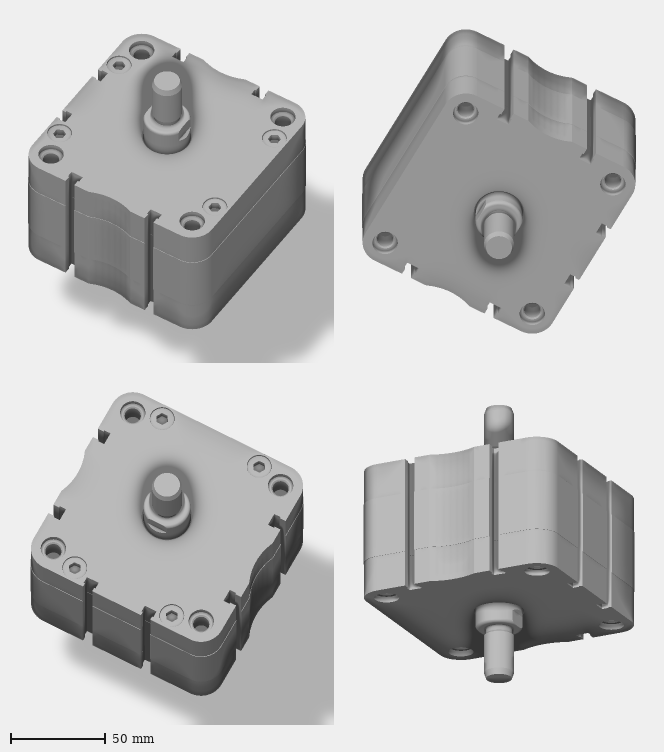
import cadquery as cq
import math

BODY_WIDTH = 113.5
CAP_INSET = 0.23
BODY_HEIGHT = 71.9
BARREL_HEIGHT = 33.0
CORNER_RADIUS = 12.2

HOLLOW_HALF_WIDTH = 13.2
HOLLOW_DEPTH = 2.8
HOLLOW_EDGE_ROUND = 0.9

NECK_WIDTH = 5.5
POCKET_WIDTH = 7.0
POCKET_DEPTH = 3.7
Y_SIDE_NECK_DEPTH = 3.5
X_SIDE_NECK_DEPTH = 2.1
X_SIDE_MOUTH_CHAMFER = 0.3
Y_SIDE_SLOT_OFFSET = 25.0
X_SIDE_SLOT_OFFSET = 17.5

MOUNT_OFFSET = 44.5
MOUNT_BORE_DIAMETER = 13.5
MOUNT_BORE_DEPTH = 3.2
MOUNT_MOUTH_DIAMETER = 10.1
MOUNT_HOLE_DIAMETER = 8.5
MOUNT_HOLE_DEPTH = 15.3

SCREW_X = 49.0
SCREW_Y = 29.2
HEAD_DIAMETER = 12.9
HEAD_HEIGHT = 8.0
HEAD_ROUND = 0.3
HEAD_BORE_DIAMETER = 13.2
HEAD_RECESS = 0.6
SHANK_DIAMETER = 8.4
SHANK_REACH = 12.2
SOCKET_FLATS = 6.0
SOCKET_DEPTH = 4.0

ROD_LENGTH = 153.0
ROD_SHIFT = 2.5
ROD_DIAMETER = 25.0
ROD_ROUND = 1.8
ROD_BORE_DIAMETER = 25.5
ROD_BORE_MOUTH_DIAMETER = 27.0
ROD_BORE_CHAMFER = 0.69
THREAD_DIAMETER = 16.0
TIP_DIAMETER = 13.8
TIP_CHAMFER_LENGTH = 3.2
THREAD_LENGTH = 24.0
RELIEF_DIAMETER = 14.0
RELIEF_RUNOUT = 1.0
RELIEF_FOOT = 0.3
STUD_LENGTH = 27.8
FLATS_WIDTH = 22.0
FLATS_LENGTH = 7.2

TOP = BODY_HEIGHT / 2
BARREL_TOP = BARREL_HEIGHT / 2
HEAD_TOP = TOP - HEAD_RECESS
HEAD_SEAT = HEAD_TOP - HEAD_HEIGHT
SCREW_TIP = BARREL_TOP - SHANK_REACH

ROD_TOP = ROD_LENGTH / 2
COLLAR_TOP = ROD_TOP - STUD_LENGTH

SCREW_POINTS = [(x, y) for x in (-SCREW_X, SCREW_X) for y in (-SCREW_Y, SCREW_Y)]
MOUNT_POINTS = [(x, y) for x in (-MOUNT_OFFSET, MOUNT_OFFSET) for y in (-MOUNT_OFFSET, MOUNT_OFFSET)]


def cylinder(diameter, bottom, top):
    return cq.Workplane("XY").workplane(offset=bottom).circle(diameter / 2).extrude(top - bottom)


def mirrored_in_z(shape):
    return shape.mirror("XY")


def slot_cutter(side_distance, neck_depth, offset, turn):
    """Slot along Z, cut into the side that faces `turn` degrees round from +X."""
    pocket_x = side_distance - neck_depth
    floor_x = pocket_x - POCKET_DEPTH
    half_neck = NECK_WIDTH / 2
    half_pocket = POCKET_WIDTH / 2
    upper_side = [
        (side_distance, half_neck),
        (pocket_x, half_neck),
        (pocket_x, half_pocket),
        (floor_x, half_pocket),
    ]
    lower_side = [(x, -y) for x, y in reversed(upper_side)]
    slot = cq.Workplane("XY").polyline(upper_side + lower_side).close().extrude(TOP, both=True)
    return slot.translate((0, offset, 0)).rotate((0, 0, 0), (0, 0, 1), turn)


def slot_mouth_cutter(side_distance, offset):
    """Wedge that chamfers both mouth edges of a slot in the -X side."""
    half_neck = NECK_WIDTH / 2
    half_mouth = half_neck + X_SIDE_MOUTH_CHAMFER
    inner_x = X_SIDE_MOUTH_CHAMFER - side_distance
    outline = [
        (-side_distance, -half_mouth),
        (inner_x, -half_neck),
        (inner_x, half_neck),
        (-side_distance, half_mouth),
    ]
    wedge = cq.Workplane("XY").polyline(outline).close().extrude(TOP, both=True)
    return wedge.translate((0, offset, 0))


def hollow_cutter(side_distance):
    """Shallow arc along the middle of the +Y side."""
    radius = (HOLLOW_HALF_WIDTH**2 + HOLLOW_DEPTH**2) / (2 * HOLLOW_DEPTH)
    center_y = side_distance - HOLLOW_DEPTH + radius
    return cylinder(2 * radius, -TOP, TOP).translate((0, center_y, 0))


def hollow_edges(width, height, middle_z):
    """Selects the four vertical edges where the hollows meet the flat sides."""
    reach_x = HOLLOW_HALF_WIDTH + HOLLOW_EDGE_ROUND
    corners = (-reach_x, -width, middle_z - height / 4), (reach_x, width, middle_z + height / 4)
    return cq.selectors.BoxSelector(*corners)


def profile_block(width, bottom, top):
    """Rounded square block with the hollows and slots that run the full height."""
    side = width / 2
    block = cq.Workplane("XY").workplane(offset=bottom).rect(width, width).extrude(top - bottom)
    block = block.edges("|Z").fillet(CORNER_RADIUS)
    hollow = hollow_cutter(side)
    block = block.cut(hollow).cut(hollow.mirror("XZ"))
    block = block.edges(hollow_edges(width, top - bottom, (bottom + top) / 2)).fillet(HOLLOW_EDGE_ROUND)
    for offset in (-Y_SIDE_SLOT_OFFSET, Y_SIDE_SLOT_OFFSET):
        for turn in (90, -90):
            block = block.cut(slot_cutter(side, Y_SIDE_NECK_DEPTH, offset, turn))
    for offset in (-X_SIDE_SLOT_OFFSET, X_SIDE_SLOT_OFFSET):
        block = block.cut(slot_cutter(side, X_SIDE_NECK_DEPTH, offset, 180))
        block = block.cut(slot_mouth_cutter(side, offset))
    return block


def mount_hole_cutter():
    """Counterbored blind hole with a conical mouth, entering from the top face."""
    mouth_z = TOP - MOUNT_BORE_DEPTH
    mouth_radius = MOUNT_MOUTH_DIAMETER / 2
    hole_radius = MOUNT_HOLE_DIAMETER / 2
    floor_z = TOP - MOUNT_HOLE_DEPTH
    outline = [
        (0, TOP),
        (MOUNT_BORE_DIAMETER / 2, TOP),
        (MOUNT_BORE_DIAMETER / 2, mouth_z),
        (mouth_radius, mouth_z),
        (hole_radius, mouth_z - (mouth_radius - hole_radius)),
        (hole_radius, floor_z),
        (0, floor_z),
    ]
    return cq.Workplane("XZ").polyline(outline).close().revolve(360, (0, 0), (0, 1))


def rod_bore_cutter():
    """Bore through the whole housing, chamfered at both mouths."""
    bore = cylinder(ROD_BORE_DIAMETER, -TOP, TOP)
    mouth = (
        cq.Workplane("XY")
        .workplane(offset=TOP)
        .circle(ROD_BORE_MOUTH_DIAMETER / 2)
        .workplane(offset=-ROD_BORE_CHAMFER)
        .circle(ROD_BORE_DIAMETER / 2)
        .loft()
    )
    return bore.union(mouth).union(mirrored_in_z(mouth))


def screw_hole_cutter():
    head_bore = cylinder(HEAD_BORE_DIAMETER, HEAD_SEAT, TOP)
    return head_bore.union(cylinder(SHANK_DIAMETER, SCREW_TIP, HEAD_SEAT))


def drilled(block):
    """Cuts the rod bore, mounting holes and screw holes wherever they meet the block."""
    block = block.cut(rod_bore_cutter())
    for x, y in MOUNT_POINTS:
        hole = mount_hole_cutter().translate((x, y, 0))
        block = block.cut(hole).cut(mirrored_in_z(hole))
    for x, y in SCREW_POINTS:
        block = block.cut(screw_hole_cutter().translate((x, y, 0)))
    return block


def make_housing():
    """Middle section and bottom cap in one piece."""
    barrel = profile_block(BODY_WIDTH, -BARREL_TOP, BARREL_TOP)
    bottom_cap = profile_block(BODY_WIDTH - 2 * CAP_INSET, -TOP, -BARREL_TOP)
    return drilled(barrel.union(bottom_cap))


def make_top_cap():
    return drilled(profile_block(BODY_WIDTH - 2 * CAP_INSET, BARREL_TOP, TOP))


def flat_cutter():
    """Wrench flat on the +X side of the upper collar, with a 45 degree run-out below."""
    flat_x = FLATS_WIDTH / 2
    outer_x = ROD_DIAMETER
    flat_bottom = COLLAR_TOP - FLATS_LENGTH
    outline = [
        (flat_x, COLLAR_TOP),
        (flat_x, flat_bottom),
        (outer_x, flat_bottom - (outer_x - flat_x)),
        (outer_x, COLLAR_TOP),
    ]
    return cq.Workplane("XZ").polyline(outline).close().extrude(ROD_DIAMETER / 2, both=True)


def upper_rod():
    """Upper half of the rod: collar, thread relief, threaded stud and tapered tip."""
    rod_radius = ROD_DIAMETER / 2
    thread_radius = THREAD_DIAMETER / 2
    relief_radius = RELIEF_DIAMETER / 2
    thread_end = ROD_TOP - THREAD_LENGTH
    round_mid = ROD_ROUND * (1 - math.sqrt(0.5))
    half = (
        cq.Workplane("XZ")
        .moveTo(0, 0)
        .lineTo(rod_radius, 0)
        .lineTo(rod_radius, COLLAR_TOP - ROD_ROUND)
        .threePointArc(
            (rod_radius - round_mid, COLLAR_TOP - round_mid),
            (rod_radius - ROD_ROUND, COLLAR_TOP),
        )
        .lineTo(relief_radius + RELIEF_FOOT, COLLAR_TOP)
        .lineTo(relief_radius, COLLAR_TOP + RELIEF_FOOT)
        .lineTo(relief_radius, thread_end - RELIEF_RUNOUT)
        .lineTo(thread_radius, thread_end)
        .lineTo(thread_radius, ROD_TOP - TIP_CHAMFER_LENGTH)
        .lineTo(TIP_DIAMETER / 2, ROD_TOP)
        .lineTo(0, ROD_TOP)
        .close()
        .revolve(360, (0, 0), (0, 1))
    )
    flat = flat_cutter()
    return half.cut(flat).cut(flat.mirror("YZ"))


def make_rod():
    half = upper_rod()
    return half.union(mirrored_in_z(half))


def make_screw(x, y):
    """Socket head cap screw, its hexagon pointing along Y."""
    head = cylinder(HEAD_DIAMETER, HEAD_SEAT, HEAD_TOP).faces(">Z").edges().fillet(HEAD_ROUND)
    shank = cylinder(SHANK_DIAMETER, SCREW_TIP, HEAD_SEAT)
    socket_corners = SOCKET_FLATS / math.cos(math.radians(30))
    socket = (
        cq.Workplane("XY")
        .workplane(offset=HEAD_TOP - SOCKET_DEPTH)
        .polygon(6, socket_corners)
        .extrude(SOCKET_DEPTH)
        .rotate((0, 0, 0), (0, 0, 1), 30)
    )
    return head.union(shank).cut(socket).translate((x, y, 0))


housing = make_housing()
top_cap = make_top_cap()
rod = make_rod().translate((0, 0, ROD_SHIFT))
screws = [make_screw(x, y) for x, y in SCREW_POINTS]

result = cq.Compound.makeCompound(
    [housing.val(), top_cap.val(), rod.val(), *[screw.val() for screw in screws]]
)